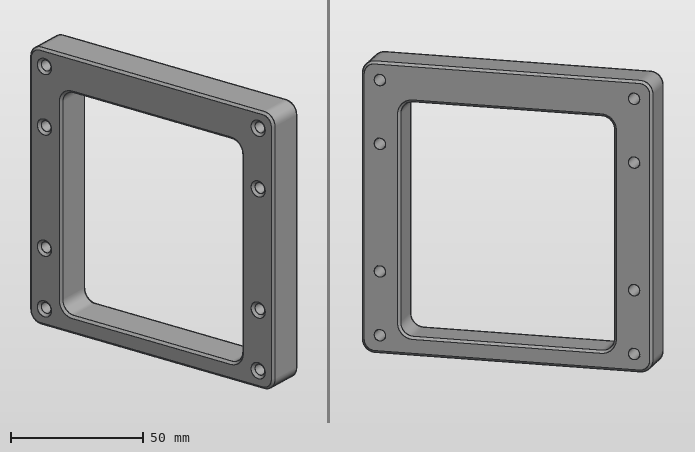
import cadquery as cq

side = 114.3
thickness = 16.0
corner_radius = 5.0
edge_chamfer = 1.0

side_margin = 15.1
top_margin = 15.0
bottom_margin = 7.4
window_radius = 5.0
window_width = side - 2 * side_margin
window_height = side - top_margin - bottom_margin
window_center_z = (bottom_margin - top_margin) / 2

hole_diameter = 4.5
countersink_diameter = 6.6
countersink_angle = 90
hole_span = 100.0
outer_hole_offset = hole_span / 2
inner_hole_offset = outer_hole_offset / 2
hole_points = [
    (x, z)
    for x in (-outer_hole_offset, outer_hole_offset)
    for z in (-outer_hole_offset, -inner_hole_offset, inner_hole_offset, outer_hole_offset)
]


def rounded_block(width, height, radius, center_z=0):
    """Block through the plate thickness with rounded corners, centred on Y."""
    return (
        cq.Workplane("XY")
        .box(width, thickness, height)
        .edges("|Y")
        .fillet(radius)
        .translate((0, 0, center_z))
    )


plate = rounded_block(side, side, corner_radius)
window = rounded_block(window_width, window_height, window_radius, window_center_z)
frame = plate.cut(window).faces("<Y or >Y").edges().chamfer(edge_chamfer)

result = (
    frame.faces("<Y")
    .workplane(origin=(0, -thickness / 2, 0))
    .pushPoints(hole_points)
    .cskHole(hole_diameter, countersink_diameter, countersink_angle)
)